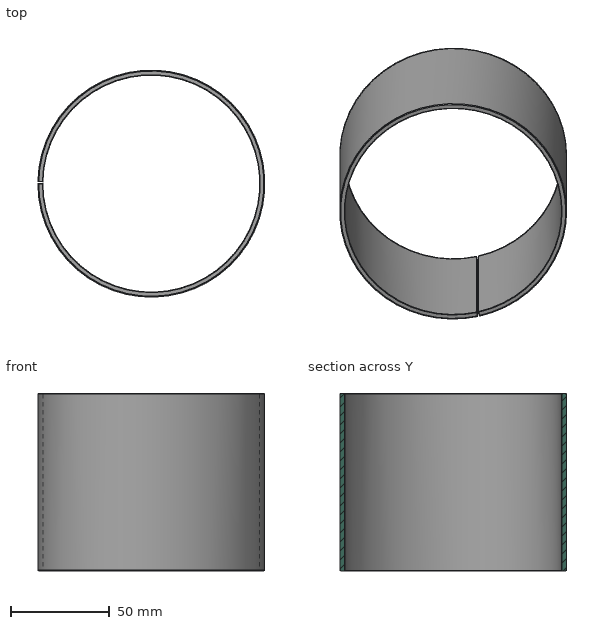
import cadquery as cq

outer_diameter = 115.0
wall = 2.5
height = 90.0
slit_angle = 1.0
outer_chamfer = 0.5
inner_chamfer = 0.2

outer_radius = outer_diameter / 2
inner_radius = outer_radius - wall


def wall_section():
    """Wall cross-section on the -X side, standing on Z = 0 with chamfered rims."""
    return (
        cq.Workplane("XZ")
        .moveTo(-inner_radius, inner_chamfer)
        .lineTo(-inner_radius - inner_chamfer, 0)
        .lineTo(-outer_radius + outer_chamfer, 0)
        .lineTo(-outer_radius, outer_chamfer)
        .lineTo(-outer_radius, height - outer_chamfer)
        .lineTo(-outer_radius + outer_chamfer, height)
        .lineTo(-inner_radius - inner_chamfer, height)
        .lineTo(-inner_radius, height - inner_chamfer)
        .close()
    )


result = wall_section().revolve(360 - slit_angle, (0, 0, 0), (0, 1, 0))